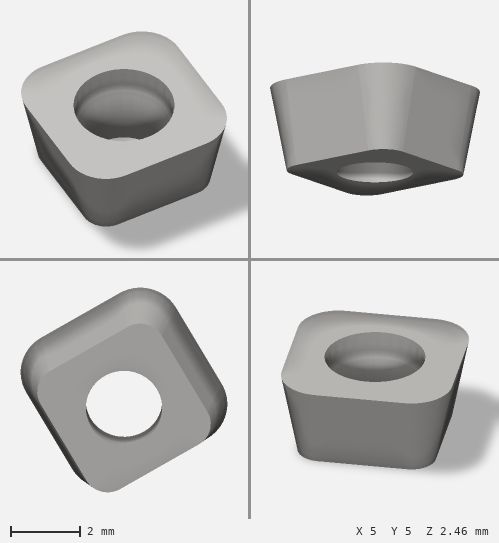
import cadquery as cq
import math

width = 5.0
height = 2.46
corner_radius = 1.19
relief_angle = 11.0

rim_radius = 1.455
wall_end_radius = 1.41
wall_end_depth = 0.575
seat_radius = 1.33
seat_depth = 0.79
bore_radius = 1.1
bore_depth = 1.63


def tapered_body():
    """Rounded square whose flanks and conical corners slope inwards going down."""
    flank_inset = height * math.tan(math.radians(relief_angle))
    base_width = width - 2 * flank_inset
    return (
        cq.Workplane("XY")
        .sketch()
        .rect(base_width, base_width)
        .vertices()
        .fillet(corner_radius - flank_inset)
        .finalize()
        .extrude(height, taper=-relief_angle)
    )


def screw_hole():
    """Revolved cutter: sloping wall, concave bend, convex seat, straight bore."""
    seat_run = seat_radius - bore_radius
    seat_drop = bore_depth - seat_depth
    seat_arc_radius = (seat_run**2 + seat_drop**2) / (2 * seat_run)
    half_angle = math.asin(seat_drop / seat_arc_radius) / 2
    seat_middle = (
        bore_radius + seat_arc_radius * (1 - math.cos(half_angle)),
        height - bore_depth + seat_arc_radius * math.sin(half_angle),
    )

    return (
        cq.Workplane("XZ")
        .moveTo(0, height)
        .lineTo(rim_radius, height)
        .lineTo(wall_end_radius, height - wall_end_depth)
        .tangentArcPoint((seat_radius, height - seat_depth), relative=False)
        .threePointArc(seat_middle, (bore_radius, height - bore_depth))
        .lineTo(bore_radius, 0)
        .lineTo(0, 0)
        .close()
        .revolve(360, (0, 0, 0), (0, 1, 0))
    )


result = tapered_body().cut(screw_hole())